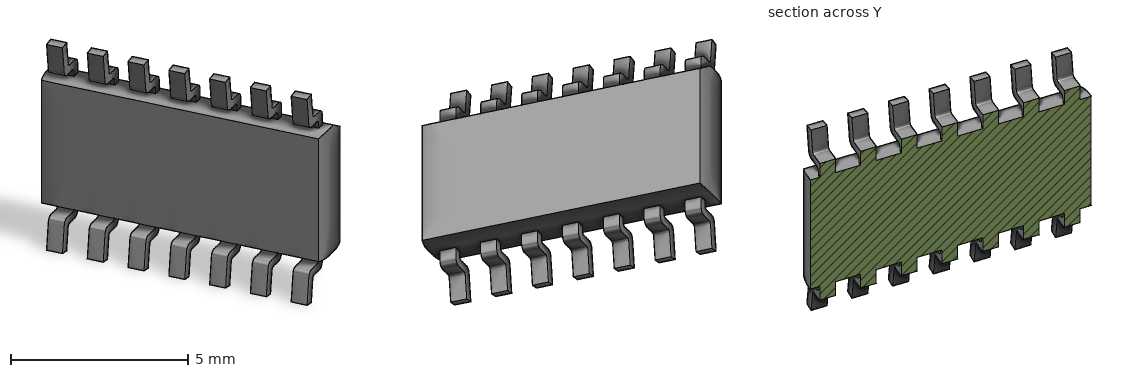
import cadquery as cq
import math

BODY_LENGTH = 8.75
BODY_WIDTH = 4.0
DOME_DEPTH = 0.5
DOME_INSET = 0.06
BAND_DEPTH = 0.45
BACK_Y = BAND_DEPTH + DOME_DEPTH
FRONT_Y = -DOME_DEPTH

BEVEL_DEPTH = 0.58
BEVEL_DROP = 0.32

LEADS_PER_SIDE = 7
LEAD_PITCH = 1.27
LEAD_WIDTH = 0.5
LEAD_ROW_SHIFT = 0.03
LEAD_SPAN = 6.58
LEAD_THICKNESS = 0.25
LEAD_EMBED = 0.175
SHELF_OUTER_Z = 2.5
FOOT_THICKNESS = 0.29
FOOT_TILT = math.radians(8)
FOOT_TIP_Y = -0.76
SHOULDER_OUTER_RADIUS = 0.19
SHOULDER_INNER_RADIUS = 0.105
ANKLE_OUTER_RADIUS = 0.18
ANKLE_INNER_RADIUS = 0.09


def bulged_prism(plane, half_size, length):
    """Prism whose section has a straight band and arcs tangent to it, symmetric about the Y axis."""
    arc_radius = (DOME_DEPTH**2 + DOME_INSET**2) / (2 * DOME_INSET)
    half_depth = DOME_DEPTH / 2
    half_depth_inset = arc_radius - math.sqrt(arc_radius**2 - half_depth**2)
    face = half_size - DOME_INSET
    bulge = half_size - half_depth_inset
    return (
        cq.Workplane(plane)
        .moveTo(-face, FRONT_Y)
        .lineTo(face, FRONT_Y)
        .threePointArc((bulge, -half_depth), (half_size, 0))
        .lineTo(half_size, BAND_DEPTH)
        .threePointArc((bulge, BAND_DEPTH + half_depth), (face, BACK_Y))
        .lineTo(-face, BACK_Y)
        .threePointArc((-bulge, BAND_DEPTH + half_depth), (-half_size, BAND_DEPTH))
        .lineTo(-half_size, 0)
        .threePointArc((-bulge, -half_depth), (-face, FRONT_Y))
        .close()
        .extrude(length / 2, both=True)
    )


def make_body():
    """Body curved on all four sides, with the bevel cut off its upper back edge."""
    end_outline_plane = cq.Plane(origin=(0, 0, 0), xDir=(0, 0, 1), normal=(-1, 0, 0))
    body = bulged_prism("XY", BODY_LENGTH / 2, BODY_WIDTH)
    body = body.intersect(bulged_prism(end_outline_plane, BODY_WIDTH / 2, BODY_LENGTH))

    top_z = BODY_WIDTH / 2
    bevel = (
        cq.Workplane("YZ")
        .moveTo(BACK_Y - BEVEL_DEPTH, top_z)
        .lineTo(BACK_Y, top_z)
        .lineTo(BACK_Y, top_z - BEVEL_DROP)
        .close()
        .extrude(BODY_LENGTH / 2, both=True)
    )
    return body.cut(bevel)


def make_upper_lead():
    """One lead of the upper row, centred on X = 0."""
    tip_z = LEAD_SPAN / 2
    root_z = BODY_WIDTH / 2 - LEAD_EMBED
    shelf_inner_z = SHELF_OUTER_Z - LEAD_THICKNESS

    tip_front = (FOOT_TIP_Y, tip_z - FOOT_THICKNESS * math.sin(FOOT_TILT))
    tip_rear = (FOOT_TIP_Y + FOOT_THICKNESS * math.cos(FOOT_TILT), tip_z)

    def foot_corner(tip, z):
        """Point at height z on the tilted foot side that starts at the given tip corner."""
        return (tip[0] + (tip[1] - z) * math.tan(FOOT_TILT), z)

    shoulder_outer = (LEAD_THICKNESS, SHELF_OUTER_Z)
    shoulder_inner = (0, shelf_inner_z)
    ankle_inner = foot_corner(tip_rear, SHELF_OUTER_Z)
    ankle_outer = foot_corner(tip_front, shelf_inner_z)
    outline = [
        (0, root_z),
        (LEAD_THICKNESS, root_z),
        shoulder_outer,
        ankle_inner,
        tip_rear,
        tip_front,
        ankle_outer,
        shoulder_inner,
    ]
    lead = cq.Workplane("YZ").polyline(outline).close().extrude(LEAD_WIDTH / 2, both=True)

    bends = [
        (shoulder_outer, SHOULDER_OUTER_RADIUS),
        (shoulder_inner, SHOULDER_INNER_RADIUS),
        (ankle_outer, ANKLE_OUTER_RADIUS),
        (ankle_inner, ANKLE_INNER_RADIUS),
    ]
    for (y, z), radius in bends:
        lead = lead.edges(cq.NearestToPointSelector((0, y, z))).fillet(radius)
    return lead


result = make_body()
upper_lead = make_upper_lead()
lower_lead = upper_lead.mirror("XY")
for index in range(LEADS_PER_SIDE):
    lead_x = LEAD_ROW_SHIFT + (index - (LEADS_PER_SIDE - 1) / 2) * LEAD_PITCH
    for row_lead in (upper_lead, lower_lead):
        result = result.union(row_lead.translate((lead_x, 0, 0)))